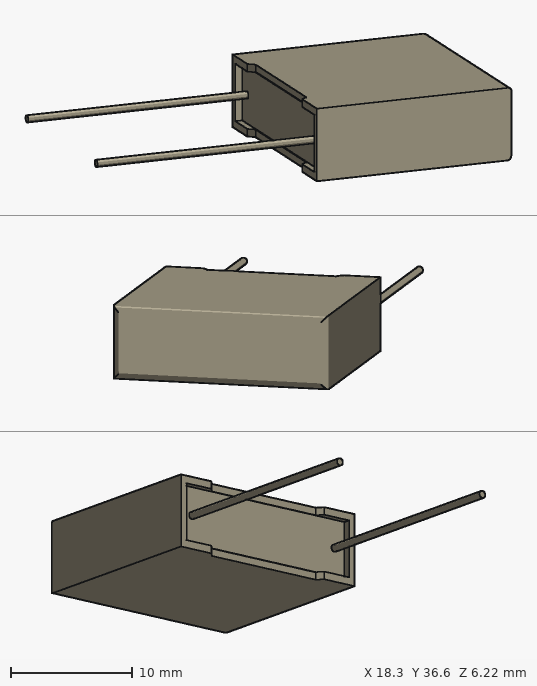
import cadquery as cq

TOTAL_LENGTH = 36.6
CASE_WIDTH = 18.3
CASE_LENGTH = 17.55
CASE_HEIGHT = 6.22
SIDE_WALL = 0.6
FLAT_WALL = 0.65
BACK_ROUND = 0.6

NOTCH_DEPTH = 0.55
NOTCH_MOUTH_WIDTH = 11.9
NOTCH_FLOOR_WIDTH = 10.98

RESIN_RECESS = 0.62

LEAD_DIAMETER = 0.62
LEAD_PITCH = 15.0

MOUTH_Y = TOTAL_LENGTH - CASE_LENGTH
RESIN_FACE_Y = MOUTH_Y + RESIN_RECESS
CAVITY_END_Y = TOTAL_LENGTH - SIDE_WALL


def block_along_y(width, height, start_y, end_y):
    """Box centred on X and Z that spans start_y to end_y."""
    return cq.Workplane("XY").box(width, end_y - start_y, height).translate(
        (0, (start_y + end_y) / 2, 0)
    )


def cavity_block(start_y):
    """Inside space of the case, from start_y to the back wall."""
    return block_along_y(CASE_WIDTH - 2 * SIDE_WALL, CASE_HEIGHT - 2 * FLAT_WALL, start_y, CAVITY_END_Y)


def make_notch_cutter():
    """Trapezoid cutter that runs through both the top and bottom walls."""
    return (
        cq.Workplane("XY")
        .polyline([
            (-NOTCH_MOUTH_WIDTH / 2, MOUTH_Y),
            (NOTCH_MOUTH_WIDTH / 2, MOUTH_Y),
            (NOTCH_FLOOR_WIDTH / 2, MOUTH_Y + NOTCH_DEPTH),
            (-NOTCH_FLOOR_WIDTH / 2, MOUTH_Y + NOTCH_DEPTH),
        ])
        .close()
        .extrude(CASE_HEIGHT / 2, both=True)
    )


def make_case():
    """Thin-walled case with a rounded back rim and a notched mouth."""
    outside = block_along_y(CASE_WIDTH, CASE_HEIGHT, MOUTH_Y, TOTAL_LENGTH)
    outside = outside.faces(">Y").edges().fillet(BACK_ROUND)
    return outside.cut(cavity_block(MOUTH_Y)).cut(make_notch_cutter())


def make_resin():
    """Filling behind the recessed face of the case."""
    return cavity_block(RESIN_FACE_Y)


def make_lead(x):
    """Straight round wire from its tip to the resin face."""
    return (
        cq.Workplane("XZ")
        .center(x, 0)
        .circle(LEAD_DIAMETER / 2)
        .extrude(-RESIN_FACE_Y)
    )


case = make_case()
resin = make_resin()
leads = [make_lead(side * LEAD_PITCH / 2) for side in (-1, 1)]

result = cq.Compound.makeCompound([case.val(), resin.val(), *[lead.val() for lead in leads]])